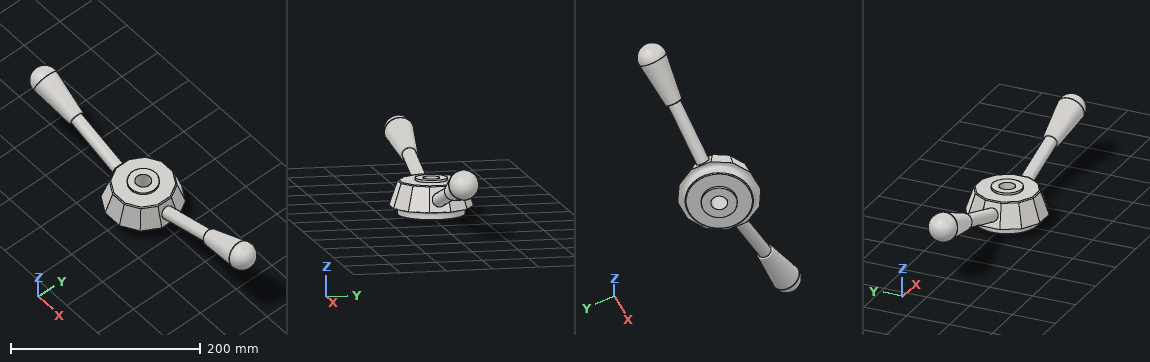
import cadquery as cq
import math

hub_sides = 12
hub_flats_bottom = 87.0
hub_flats_top = 68.5
hub_bottom_z = 13.0
hub_top_z = 40.3
hub_edge_chamfer = 1.0

collar_diameter = 72.0
collar_bottom_z = 3.0
collar_edge_chamfer = 1.0
blend_radius = 5.0
lower_boss_diameter = 38.0
upper_boss_diameter = 34.0
upper_boss_top_z = 42.7
bore_diameter = 17.5

span = 350.2
height = 80.2
arm_angle = 17.7
rod_diameter = 15.0
ball_diameter = 32.2
grip_length = 50.5
grip_small_diameter = 19.5
grip_edge_fillet = 1.0
ball_joint_offset = 1.5
seam_width = 1.8
seam_depth = 0.5

ball_radius = ball_diameter / 2
ball_x = span / 2 - ball_radius
ball_z = height - ball_radius
arm_length = ball_x / math.cos(math.radians(arm_angle))
arm_root_z = ball_z - ball_x * math.tan(math.radians(arm_angle))


def disc(diameter, bottom_z, top_z):
    """Cylinder on the hub axis between two heights."""
    return cq.Workplane("XY").workplane(offset=bottom_z).circle(diameter / 2).extrude(top_z - bottom_z)


def tapered_hub():
    """Twelve-sided frustum with flats square to X and Y and a chamfered top rim."""
    hub_height = hub_top_z - hub_bottom_z
    taper = math.degrees(math.atan((hub_flats_bottom - hub_flats_top) / 2 / hub_height))
    corner_diameter = hub_flats_bottom / math.cos(math.pi / hub_sides)
    return (
        cq.Workplane("XY", origin=(0, 0, hub_bottom_z))
        .transformed(rotate=(0, 0, 180 / hub_sides))
        .polygon(hub_sides, corner_diameter)
        .extrude(hub_height, taper=taper)
        .faces(">Z")
        .edges()
        .chamfer(hub_edge_chamfer)
    )


def collar():
    """Round collar below the hub, blended into its underside by a concave fillet."""
    radius = collar_diameter / 2
    blend_bottom_z = hub_bottom_z - blend_radius
    arc_reach = blend_radius * (1 - math.sqrt(0.5))
    return (
        cq.Workplane("XZ")
        .moveTo(0, collar_bottom_z)
        .lineTo(radius - collar_edge_chamfer, collar_bottom_z)
        .lineTo(radius, collar_bottom_z + collar_edge_chamfer)
        .lineTo(radius, blend_bottom_z)
        .threePointArc((radius + arc_reach, hub_bottom_z - arc_reach), (radius + blend_radius, hub_bottom_z))
        .lineTo(0, hub_bottom_z)
        .close()
        .revolve(360, (0, 0, 0), (0, 1, 0))
    )


def arm():
    """Rod, grip and ball revolved about X, then tilted up from the hub axis."""
    rod_radius = rod_diameter / 2
    joint_x = arm_length - ball_joint_offset
    joint_radius = math.sqrt(ball_radius**2 - ball_joint_offset**2)
    seam_x = joint_x - seam_width
    seam_radius = joint_radius - seam_depth
    grip_start_x = seam_x - grip_length
    grip_radius = grip_small_diameter / 2
    profile = (
        cq.Workplane("XZ")
        .lineTo(0, rod_radius)
        .lineTo(grip_start_x, rod_radius)
        .lineTo(grip_start_x, grip_radius - grip_edge_fillet)
        .radiusArc((grip_start_x + grip_edge_fillet, grip_radius), grip_edge_fillet)
        .lineTo(seam_x, seam_radius)
        .lineTo(joint_x, seam_radius)
        .lineTo(joint_x, joint_radius)
        .threePointArc((arm_length, ball_radius), (arm_length + ball_radius, 0))
        .close()
    )
    return (
        profile.revolve(360, (0, 0, 0), (1, 0, 0))
        .rotate((0, 0, 0), (0, 1, 0), -arm_angle)
        .translate((0, 0, arm_root_z))
    )


right_arm = arm()
result = (
    tapered_hub()
    .union(collar())
    .union(disc(lower_boss_diameter, 0, collar_bottom_z))
    .union(disc(upper_boss_diameter, hub_top_z, upper_boss_top_z))
    .union(right_arm)
    .union(right_arm.mirror("YZ"))
    .cut(disc(bore_diameter, 0, height))
)